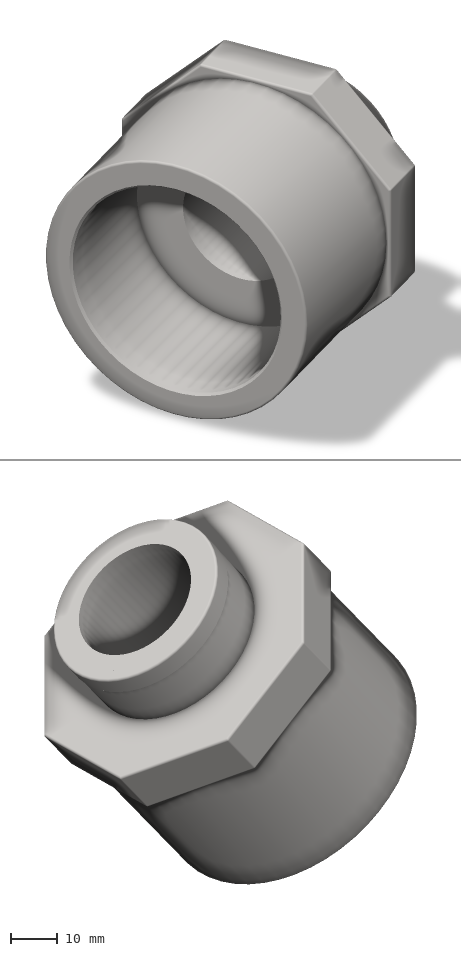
import cadquery as cq
import math

TOTAL_LENGTH = 66.2
MOUTH_Y = -TOTAL_LENGTH / 2
NECK_END_Y = TOTAL_LENGTH / 2

ACROSS_FLATS = 64.9
COLLAR_WIDTH = 12.0
COLLAR_FRONT_Y = 4.9
COLLAR_MIDDLE_Y = COLLAR_FRONT_Y + COLLAR_WIDTH / 2
COLLAR_SIDES = 8

BARREL_DIAMETER = 63.0
SOCKET_DIAMETER = 50.2
SOCKET_DEPTH = 31.05
SOCKET_CHAMFER = 0.5

NECK_DIAMETER = 40.5
BORE_DIAMETER = 28.0

RING_OUTER_DIAMETER = 40.9
RING_SEAT_DIAMETER = 36.0
RING_LENGTH = 4.7
RING_START_Y = NECK_END_Y - RING_LENGTH

EDGE_RADIUS = 0.5


def cylinder(diameter, start_y, end_y):
    """Solid cylinder along the Y axis from start_y to end_y."""
    plane = cq.Workplane("XZ", origin=(0, start_y, 0))
    return plane.circle(diameter / 2).extrude(start_y - end_y)


def make_collar():
    """Octagonal prism with flats facing X and Z and all edges rounded."""
    across_corners = ACROSS_FLATS / math.cos(math.pi / COLLAR_SIDES)
    prism = (
        cq.Workplane("XZ", origin=(0, COLLAR_FRONT_Y, 0))
        .transformed(rotate=(0, 0, 180 / COLLAR_SIDES))
        .polygon(COLLAR_SIDES, across_corners)
        .extrude(-COLLAR_WIDTH)
    )
    return prism.edges().fillet(EDGE_RADIUS)


def make_barrel():
    """Outside of the socket, with a rounded mouth edge."""
    barrel = cylinder(BARREL_DIAMETER, MOUTH_Y, COLLAR_MIDDLE_Y)
    return barrel.faces("<Y").edges().fillet(EDGE_RADIUS)


def cut_socket(body):
    """Blind socket with a chamfered mouth, opening from the -Y end."""
    socket = cylinder(SOCKET_DIAMETER, MOUTH_Y, MOUTH_Y + SOCKET_DEPTH)
    mouth = cq.Workplane(
        cq.Solid.makeCone(
            SOCKET_DIAMETER / 2 + SOCKET_CHAMFER,
            SOCKET_DIAMETER / 2,
            SOCKET_CHAMFER,
            pnt=cq.Vector(0, MOUTH_Y, 0),
            dir=cq.Vector(0, 1, 0),
        )
    )
    return body.cut(socket).cut(mouth)


def make_fitting():
    """Barrel, collar and neck in one piece, with the socket and bore cut through."""
    neck = cylinder(NECK_DIAMETER, COLLAR_MIDDLE_Y, RING_START_Y)
    ring_seat = cylinder(RING_SEAT_DIAMETER, COLLAR_MIDDLE_Y, NECK_END_Y)
    body = make_collar().union(make_barrel()).union(neck).union(ring_seat)
    return cut_socket(body).cut(cylinder(BORE_DIAMETER, MOUTH_Y, NECK_END_Y))


def make_ring():
    """Reinforcing ring with a rounded outer edge at the free end."""
    blank = cylinder(RING_OUTER_DIAMETER, RING_START_Y, NECK_END_Y)
    rounded = blank.faces(">Y").edges().fillet(EDGE_RADIUS)
    return rounded.cut(cylinder(RING_SEAT_DIAMETER, RING_START_Y, NECK_END_Y))


fitting = make_fitting()
ring = make_ring()

result = cq.Compound.makeCompound([fitting.val(), ring.val()])